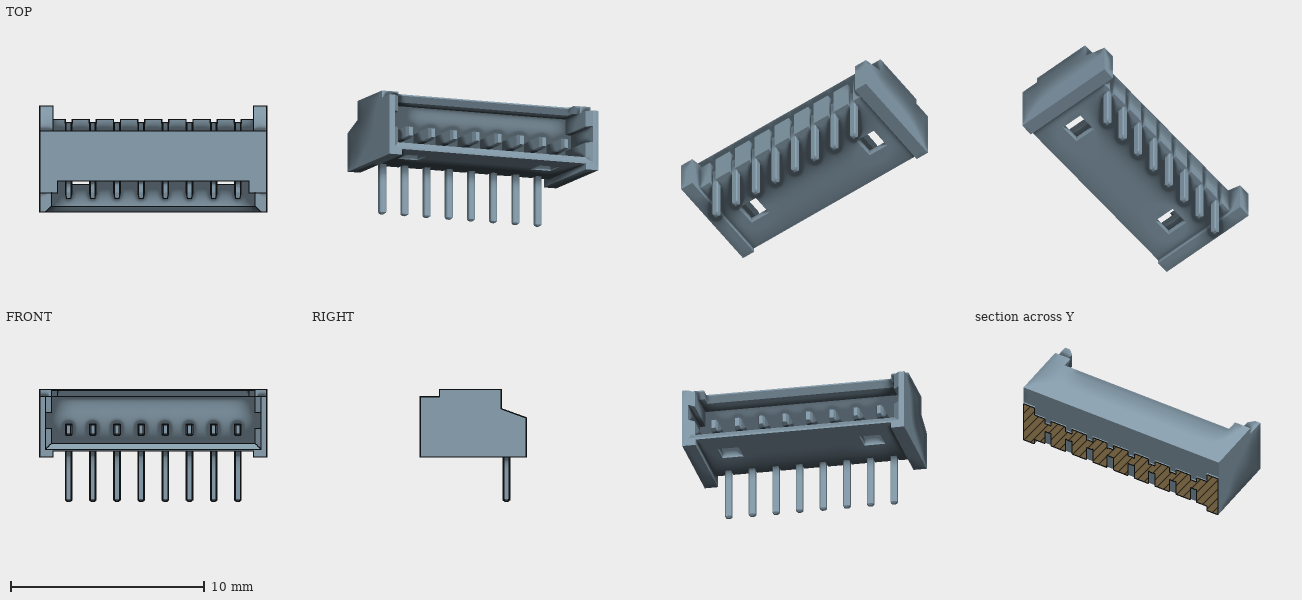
import cadquery as cq
import math


PIN_COUNT = 8
PITCH = 1.25

LENGTH = 11.75
DEPTH = 5.5
HEIGHT = 3.5
BODY_BACK_Y = 4.2
LEDGE_BACK_Y = 4.8
LEDGE_TOP_Z = 2.0
FOOT_WIDTH = 0.7
FOOT_HEIGHT = 0.3
WING_LOW_Z = 2.03
WING_HIGH_Z = 2.5

FLOOR_Z = 0.7
ROOF_THICKNESS = 0.37
CEILING_Z = HEIGHT - ROOF_THICKNESS
CAVITY_LENGTH = 10.55
CAVITY_BACK_Y = 2.9
LEAD_IN = 0.3
MOUTH_LENGTH = CAVITY_LENGTH + 2 * LEAD_IN
GROOVE_LOW_Z = 1.47
GROOVE_HIGH_Z = 2.31

ROOF_END_Y = 1.0
ROOF_MIDDLE_Y = 1.6
ROOF_NOTCH_LENGTH = 9.9

WINDOW_LENGTH = 1.1
WINDOW_FRONT_Y = 1.43
WINDOW_BACK_Y = 2.6

PIN_WIDTH = 0.35
PIN_TIP_Y = 0.7
PIN_LOW_Z = 1.12
PIN_HIGH_Z = 1.72
TAIL_BACK_Y = 4.64
TAIL_FRONT_Y = TAIL_BACK_Y - PIN_WIDTH
TAIL_END_Z = -2.3
BEND_RADIUS = 0.5
EDGE_BEVEL = 0.05
BLADE_TAPER_LENGTH = 0.3
BLADE_TAPER_INSET = 0.075
TAIL_TAPER_LENGTH = 0.08
TAIL_TAPER_INSET = 0.1


def block(length, y_range, z_range, x_center=0.0):
    """Box of the given X length, spanning y_range and z_range."""
    y0, y1 = y_range
    z0, z1 = z_range
    corner = (x_center - length / 2, y0, z0)
    return cq.Workplane("XY").box(length, y1 - y0, z1 - z0, centered=False).translate(corner)


def side_prism(points, length):
    """Solid with a (Y, Z) outline, extruded along X and centred on X = 0."""
    return cq.Workplane("YZ").polyline(points).close().extrude(length / 2, both=True)


def make_shell():
    """Outer form: end profile with sloped wings, cut down between the wings and feet."""
    end_profile = [
        (0, 0),
        (DEPTH, 0),
        (DEPTH, WING_LOW_Z),
        (BODY_BACK_Y, WING_HIGH_Z),
        (BODY_BACK_Y, HEIGHT),
        (ROOF_END_Y, HEIGHT),
        (ROOF_END_Y, CEILING_Z),
        (0, CEILING_Z),
    ]
    middle_length = LENGTH - 2 * FOOT_WIDTH
    shell = side_prism(end_profile, LENGTH)
    shell = shell.cut(block(middle_length, (0, DEPTH), (0, FOOT_HEIGHT)))
    shell = shell.cut(block(middle_length, (BODY_BACK_Y, DEPTH), (LEDGE_TOP_Z, HEIGHT)))
    return shell.cut(block(middle_length, (LEDGE_BACK_Y, DEPTH), (0, HEIGHT)))


def make_mouth_bevel():
    """Wedge that flares the cavity's floor and side walls at the mouth."""
    outer_half = MOUTH_LENGTH / 2
    inner_half = CAVITY_LENGTH / 2
    plan = [
        (-outer_half, 0),
        (outer_half, 0),
        (inner_half, LEAD_IN),
        (-inner_half, LEAD_IN),
    ]
    flare = cq.Workplane("XY").polyline(plan).close().extrude(HEIGHT)
    floor_side = [
        (0, FLOOR_Z - LEAD_IN),
        (LEAD_IN, FLOOR_Z),
        (LEAD_IN, HEIGHT),
        (0, HEIGHT),
    ]
    return flare.intersect(side_prism(floor_side, MOUTH_LENGTH))


def make_roof_bevel(edge_y, length):
    """Wedge under the front edge of the roof when that edge lies at edge_y."""
    wedge = [
        (edge_y, CEILING_Z),
        (edge_y + LEAD_IN, CEILING_Z),
        (edge_y, CEILING_Z + LEAD_IN),
    ]
    return side_prism(wedge, length)


def make_cavity():
    """Everything removed from the shell by the mating opening."""
    cavity = block(CAVITY_LENGTH, (0, CAVITY_BACK_Y), (FLOOR_Z, CEILING_Z))
    grooves = block(MOUTH_LENGTH, (0, CAVITY_BACK_Y), (GROOVE_LOW_Z, GROOVE_HIGH_Z))
    notch = block(ROOF_NOTCH_LENGTH, (0, ROOF_MIDDLE_Y), (FLOOR_Z, HEIGHT))
    cavity = cavity.union(grooves).union(notch).union(make_mouth_bevel())
    cavity = cavity.union(make_roof_bevel(ROOF_END_Y, CAVITY_LENGTH))
    return cavity.union(make_roof_bevel(ROOF_MIDDLE_Y, ROOF_NOTCH_LENGTH))


def make_pin_side_profile():
    """L outline in (Y, Z) with a rounded outer bend and both tips tapered."""
    blade_taper_y = PIN_TIP_Y + BLADE_TAPER_LENGTH
    tail_taper_z = TAIL_END_Z + TAIL_TAPER_LENGTH
    arc_point_inset = BEND_RADIUS * (1 - math.sqrt(0.5))
    return (
        cq.Workplane("YZ")
        .moveTo(TAIL_BACK_Y - BEND_RADIUS, PIN_HIGH_Z)
        .threePointArc(
            (TAIL_BACK_Y - arc_point_inset, PIN_HIGH_Z - arc_point_inset),
            (TAIL_BACK_Y, PIN_HIGH_Z - BEND_RADIUS),
        )
        .lineTo(TAIL_BACK_Y, tail_taper_z)
        .lineTo(TAIL_BACK_Y - TAIL_TAPER_INSET, TAIL_END_Z)
        .lineTo(TAIL_FRONT_Y + TAIL_TAPER_INSET, TAIL_END_Z)
        .lineTo(TAIL_FRONT_Y, tail_taper_z)
        .lineTo(TAIL_FRONT_Y, PIN_LOW_Z)
        .lineTo(blade_taper_y, PIN_LOW_Z)
        .lineTo(PIN_TIP_Y, PIN_LOW_Z + BLADE_TAPER_INSET)
        .lineTo(PIN_TIP_Y, PIN_HIGH_Z - BLADE_TAPER_INSET)
        .lineTo(blade_taper_y, PIN_HIGH_Z)
        .close()
    )


def width_taper_outline(tip, end, taper_length, taper_inset):
    """Points (X, along) of a bar of pin width, running from its narrowed tip to its end."""
    half = PIN_WIDTH / 2
    return [
        (-half, end),
        (-half, tip + taper_length),
        (taper_inset - half, tip),
        (half - taper_inset, tip),
        (half, tip + taper_length),
        (half, end),
    ]


def make_pin():
    """One L-shaped pin centred on X = 0, with bevelled edges and tips tapered on four sides."""
    pin = make_pin_side_profile().extrude(PIN_WIDTH / 2, both=True)
    pin = pin.faces("<X or >X").edges().chamfer(EDGE_BEVEL)
    plan = width_taper_outline(PIN_TIP_Y, TAIL_BACK_Y, BLADE_TAPER_LENGTH, BLADE_TAPER_INSET)
    elevation = width_taper_outline(TAIL_END_Z, PIN_HIGH_Z, TAIL_TAPER_LENGTH, TAIL_TAPER_INSET)
    blade_limit = (
        cq.Workplane("XY", origin=(0, 0, TAIL_END_Z))
        .polyline(plan)
        .close()
        .extrude(PIN_HIGH_Z - TAIL_END_Z)
    )
    tail_limit = cq.Workplane("XZ").polyline(elevation).close().extrude(-TAIL_BACK_Y)
    return pin.intersect(blade_limit).intersect(tail_limit)


row_half = (PIN_COUNT - 1) * PITCH / 2
pin_positions = [i * PITCH - row_half for i in range(PIN_COUNT)]

housing = make_shell().cut(make_cavity())

for side in (-1, 1):
    window_x = side * (row_half - PITCH / 2)
    window = block(WINDOW_LENGTH, (WINDOW_FRONT_Y, WINDOW_BACK_Y), (0, FLOOR_Z), window_x)
    housing = housing.cut(window)

for x in pin_positions:
    tail_slot = block(PIN_WIDTH, (BODY_BACK_Y, LEDGE_BACK_Y), (0, LEDGE_TOP_Z), x)
    housing = housing.cut(tail_slot)

result = housing
pin = make_pin()
for x in pin_positions:
    result = result.union(pin.translate((x, 0, 0)))